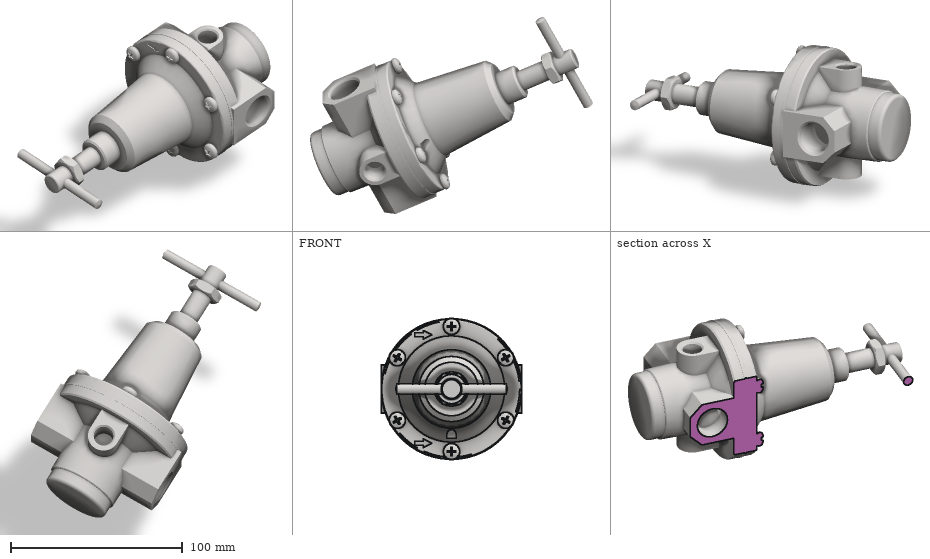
import cadquery as cq
import math


Y_CAP_END = 33.0
Y_BODY_END = 25.0
Y_BODY_CONE = -5.1
Y_BODY_FLANGE = -13.3
Y_RIM_BACK = -20.0
Y_RIM_FRONT = -21.3
Y_BONNET_FACE = -28.1
Y_BELL_BASE = -36.4
Y_BELL_END = -83.1
Y_COLLAR_END = -95.0
Y_NUT_BACK = -112.2
Y_BAR = -123.0
Y_TIP = -130.0

CAP_RADIUS = 20.0
CAP_FILLET = 2.0
BODY_END_RADIUS = 21.0
BODY_NECK_RADIUS = 21.7
BODY_EDGE = 0.6
BODY_CONE_RADIUS = 31.7
FLANGE_RADIUS = 40.7
FLANGE_FILLET = 1.0
FLANGE_BEVEL_DEPTH = 1.0
FLANGE_BEVEL_INSET = 0.6
RIM_RADIUS = 41.0
BONNET_CONE_RADIUS = 31.0
BONNET_LIP = 0.5
BELL_BASE_RADIUS = 22.9
BELL_SMALL_RADIUS = 19.0
BELL_CHAMFER_HEIGHT = 3.2
BELL_RIM_RADIUS = 16.3
BELL_RIM_HEIGHT = 0.6
BELL_END_RADIUS = 15.6
COLLAR_RADIUS = 10.0
COLLAR_CHAMFER = 1.0

STEM_RADIUS = 6.0
STEM_CHAMFER = 0.5
NUT_THICKNESS = 6.0
NUT_ACROSS_FLATS = 18.0
NUT_FACE_RADIUS = 8.5
NUT_CHAMFER_ANGLE = 30.0
BAR_RADIUS = 3.0
BAR_HALF_LENGTH = 31.8
BAR_TIP_HEIGHT = 0.8

BLOCK_LENGTH = 82.0
BLOCK_HALF_HEIGHT = 14.0
BLOCK_CHAMFER = 7.4
PORT_DIAMETER = 18.63
PORT_MOUTH_DIAMETER = 20.9
PORT_DEPTH = 20.0

BOSS_RADIUS = 9.1
BOSS_TOP = 33.2
GAUGE_DIAMETER = 11.45
GAUGE_MOUTH_DIAMETER = 13.4
GAUGE_DEPTH = 14.0

SCREW_COUNT = 6
SCREW_CIRCLE_RADIUS = 36.5
HEAD_RADIUS = 4.75
HEAD_FOOT_RADIUS = 4.2
HEAD_FOOT_HEIGHT = 0.8
HEAD_SIDE_HEIGHT = 1.7
HEAD_SHOULDER_RADIUS = 4.55
HEAD_SHOULDER_HEIGHT = 2.5
HEAD_DOME_RADIUS = 3.9
HEAD_DOME_BASE = 3.2
HEAD_HEIGHT = 4.2
CROSS_LENGTH = 5.0
CROSS_WIDTH = 0.9
CROSS_DEPTH = 1.6

VENT_RADIUS = 2.65
VENT_Z = -26.3
VENT_FLOOR_Y = -30.3

ARROW_TAIL_X = -21.5
ARROW_NECK_X = -16.4
ARROW_TIP_X = -11.4
ARROW_SHAFT_HALF = 1.15
ARROW_HEAD_HALF = 2.5
ARROW_Z = 31.6
ARROW_DEPTH = 0.4


def turned(points):
    """Solid of revolution about Y from (radius, y) points that start and end on the axis."""
    return cq.Workplane("XY").polyline(points).close().revolve(360, (0, 0, 0), (0, 1, 0))


def facing_front(y):
    """Workplane at the given Y whose normal points to -Y, with local axes +X and +Z."""
    return cq.Workplane("XZ", origin=(0, y, 0))


def disc(radius, y_back, y_front):
    return facing_front(y_back).circle(radius).extrude(y_back - y_front)


def make_body():
    body = turned([
        (0, Y_CAP_END),
        (CAP_RADIUS, Y_CAP_END),
        (CAP_RADIUS, Y_BODY_END),
        (BODY_END_RADIUS - BODY_EDGE, Y_BODY_END),
        (BODY_END_RADIUS, Y_BODY_END - BODY_EDGE),
        (BODY_NECK_RADIUS, Y_BODY_CONE),
        (BODY_CONE_RADIUS, Y_BODY_FLANGE),
        (FLANGE_RADIUS - FLANGE_BEVEL_INSET, Y_BODY_FLANGE),
        (FLANGE_RADIUS, Y_BODY_FLANGE - FLANGE_BEVEL_DEPTH),
        (FLANGE_RADIUS, Y_RIM_BACK),
        (RIM_RADIUS, Y_RIM_BACK),
        (RIM_RADIUS, Y_RIM_FRONT),
        (0, Y_RIM_FRONT),
    ])
    return body.faces(">Y").edges().fillet(CAP_FILLET)


def make_bonnet():
    flange = disc(FLANGE_RADIUS, Y_RIM_FRONT, Y_BONNET_FACE).faces("<Y").edges().fillet(FLANGE_FILLET)
    bell = turned([
        (0, Y_BONNET_FACE),
        (BONNET_CONE_RADIUS, Y_BONNET_FACE),
        (BONNET_CONE_RADIUS - BONNET_LIP, Y_BONNET_FACE - BONNET_LIP),
        (BELL_BASE_RADIUS, Y_BELL_BASE),
        (BELL_SMALL_RADIUS, Y_BELL_END + BELL_CHAMFER_HEIGHT),
        (BELL_RIM_RADIUS, Y_BELL_END + BELL_RIM_HEIGHT),
        (BELL_END_RADIUS, Y_BELL_END),
        (COLLAR_RADIUS, Y_BELL_END),
        (COLLAR_RADIUS, Y_COLLAR_END + COLLAR_CHAMFER),
        (COLLAR_RADIUS - COLLAR_CHAMFER, Y_COLLAR_END),
        (0, Y_COLLAR_END),
    ])
    return flange.union(bell)


def make_stem():
    return disc(STEM_RADIUS, Y_COLLAR_END, Y_TIP).faces("<Y").chamfer(STEM_CHAMFER)


def make_nut():
    corner_radius = NUT_ACROSS_FLATS / 2 / math.cos(math.pi / 6)
    slope = math.tan(math.radians(NUT_CHAMFER_ANGLE))
    chamfer_height = (corner_radius - NUT_FACE_RADIUS) * slope
    y_front = Y_NUT_BACK - NUT_THICKNESS
    hexagon = facing_front(Y_NUT_BACK).polygon(6, 2 * corner_radius).extrude(NUT_THICKNESS)
    envelope = turned([
        (0, Y_NUT_BACK),
        (NUT_FACE_RADIUS, Y_NUT_BACK),
        (corner_radius, Y_NUT_BACK - chamfer_height),
        (corner_radius, y_front + chamfer_height),
        (NUT_FACE_RADIUS, y_front),
        (0, y_front),
    ])
    return hexagon.intersect(envelope)


def make_bar():
    """Tee bar along X with a shallow cone on each end."""
    tip_x = BAR_HALF_LENGTH + BAR_TIP_HEIGHT
    return (
        cq.Workplane("XY", origin=(0, Y_BAR, 0))
        .moveTo(-tip_x, 0)
        .lineTo(-BAR_HALF_LENGTH, BAR_RADIUS)
        .lineTo(BAR_HALF_LENGTH, BAR_RADIUS)
        .lineTo(tip_x, 0)
        .close()
        .revolve(360, (0, 0, 0), (1, 0, 0))
    )


def make_port_block():
    block_depth = BLOCK_HALF_HEIGHT - Y_RIM_BACK
    block = cq.Workplane("XY").box(BLOCK_LENGTH, block_depth, 2 * BLOCK_HALF_HEIGHT)
    block = block.faces(">Y").edges("|X").chamfer(BLOCK_CHAMFER)
    return block.translate((0, BLOCK_HALF_HEIGHT - block_depth / 2, 0))


def make_gauge_bosses():
    """Round-backed bosses on +Z and -Z that run forward into the flange."""
    return (
        cq.Workplane("XY", origin=(0, 0, -BOSS_TOP))
        .moveTo(-BOSS_RADIUS, Y_RIM_BACK)
        .lineTo(-BOSS_RADIUS, 0)
        .threePointArc((0, BOSS_RADIUS), (BOSS_RADIUS, 0))
        .lineTo(BOSS_RADIUS, Y_RIM_BACK)
        .close()
        .extrude(2 * BOSS_TOP)
    )


def make_port(diameter, mouth_diameter, depth):
    """Blind bore with a 45 degree mouth, going down from Z = 0."""
    radius = diameter / 2
    mouth_radius = mouth_diameter / 2
    return (
        cq.Workplane("XZ")
        .polyline([
            (0, 0),
            (mouth_radius, 0),
            (radius, radius - mouth_radius),
            (radius, -depth),
            (0, -depth),
        ])
        .close()
        .revolve(360, (0, 0, 0), (0, 1, 0))
    )


def cut_ports(part):
    main_port = make_port(PORT_DIAMETER, PORT_MOUTH_DIAMETER, PORT_DEPTH)
    main_port = main_port.translate((0, 0, BLOCK_LENGTH / 2))
    gauge_port = make_port(GAUGE_DIAMETER, GAUGE_MOUTH_DIAMETER, GAUGE_DEPTH)
    gauge_port = gauge_port.translate((0, 0, BOSS_TOP))
    for turn in (90, -90):
        part = part.cut(main_port.rotate((0, 0, 0), (0, 1, 0), turn))
    for turn in (0, 180):
        part = part.cut(gauge_port.rotate((0, 0, 0), (0, 1, 0), turn))
    return part


def make_screw_head():
    """Domed cross-slot head standing on the bonnet face at the top of the screw circle."""
    dome_rise = HEAD_HEIGHT - HEAD_DOME_BASE
    sphere_radius = (HEAD_DOME_RADIUS**2 + dome_rise**2) / (2 * dome_rise)
    dome_mid_radius = HEAD_DOME_RADIUS / 2
    dome_mid_drop = sphere_radius - math.sqrt(sphere_radius**2 - dome_mid_radius**2)
    head = (
        cq.Workplane("XY")
        .moveTo(0, 0)
        .lineTo(HEAD_FOOT_RADIUS, 0)
        .lineTo(HEAD_RADIUS, -HEAD_FOOT_HEIGHT)
        .lineTo(HEAD_RADIUS, -HEAD_SIDE_HEIGHT)
        .threePointArc((HEAD_SHOULDER_RADIUS, -HEAD_SHOULDER_HEIGHT), (HEAD_DOME_RADIUS, -HEAD_DOME_BASE))
        .threePointArc((dome_mid_radius, dome_mid_drop - HEAD_HEIGHT), (0, -HEAD_HEIGHT))
        .close()
        .revolve(360, (0, 0, 0), (0, 1, 0))
    )
    slot_floor = facing_front(CROSS_DEPTH - HEAD_HEIGHT)
    head = head.cut(slot_floor.rect(CROSS_LENGTH, CROSS_WIDTH).extrude(CROSS_DEPTH))
    head = head.cut(slot_floor.rect(CROSS_WIDTH, CROSS_LENGTH).extrude(CROSS_DEPTH))
    return head.translate((0, Y_BONNET_FACE, SCREW_CIRCLE_RADIUS))


def add_screws(part):
    head = make_screw_head()
    for index in range(SCREW_COUNT):
        part = part.union(head.rotate((0, 0, 0), (0, 1, 0), index * 360 / SCREW_COUNT))
    return part


def cut_vent(part):
    """Arched pocket with a flat floor that runs out through the bonnet cone."""
    pocket = (
        facing_front(VENT_FLOOR_Y)
        .moveTo(-VENT_RADIUS, -BONNET_CONE_RADIUS)
        .lineTo(-VENT_RADIUS, VENT_Z)
        .threePointArc((0, VENT_Z + VENT_RADIUS), (VENT_RADIUS, VENT_Z))
        .lineTo(VENT_RADIUS, -BONNET_CONE_RADIUS)
        .close()
        .extrude(VENT_FLOOR_Y - Y_BELL_BASE)
    )
    return part.cut(pocket)


def cut_arrows(part):
    for arrow_z in (ARROW_Z, -ARROW_Z):
        arrow = (
            facing_front(Y_BONNET_FACE + ARROW_DEPTH)
            .polyline([
                (ARROW_TAIL_X, arrow_z - ARROW_SHAFT_HALF),
                (ARROW_NECK_X, arrow_z - ARROW_SHAFT_HALF),
                (ARROW_NECK_X, arrow_z - ARROW_HEAD_HALF),
                (ARROW_TIP_X, arrow_z),
                (ARROW_NECK_X, arrow_z + ARROW_HEAD_HALF),
                (ARROW_NECK_X, arrow_z + ARROW_SHAFT_HALF),
                (ARROW_TAIL_X, arrow_z + ARROW_SHAFT_HALF),
            ])
            .close()
            .extrude(ARROW_DEPTH)
        )
        part = part.cut(arrow)
    return part


housing = make_body().union(make_port_block()).union(make_gauge_bosses())
housing = cut_ports(housing)
bonnet = cut_arrows(cut_vent(make_bonnet()))
adjuster = make_stem().union(make_nut()).union(make_bar())
result = add_screws(housing.union(bonnet).union(adjuster))